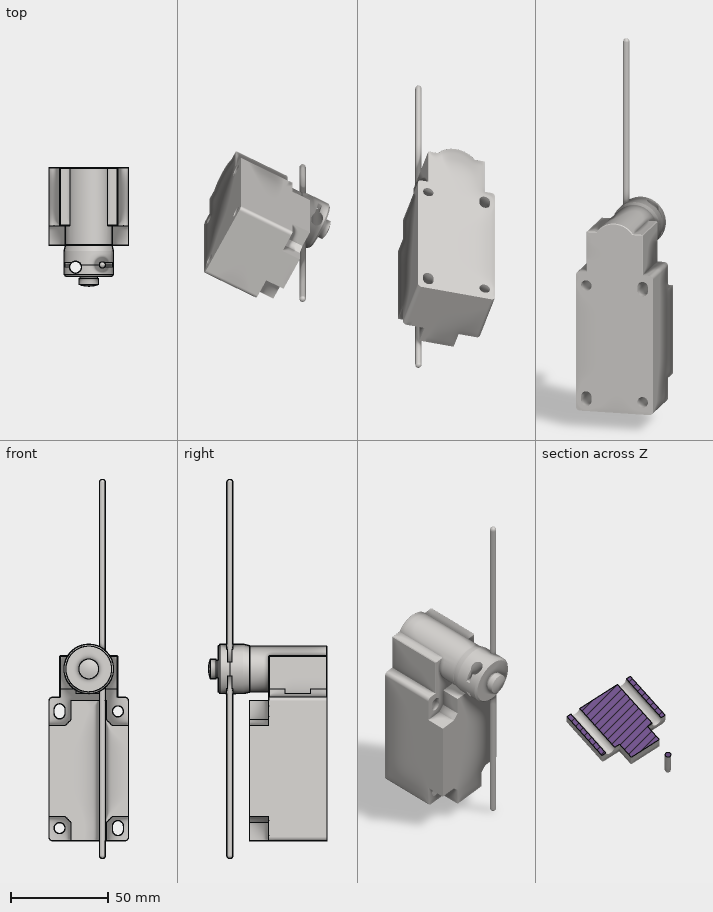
import cadquery as cq


BODY_WIDTH = 41.0
BODY_DEPTH = 40.0
SHOULDER_HEIGHT = 73.9
SHOULDER_DEPTH = 30.0
FRONT_HEIGHT = 72.2
SIDE_FILLET = 2.0
NECK_WIDTH = 30.0
NECK_TOP = 78.2

POCKET_WIDTH = 11.4
POCKET_HEIGHT = 12.5
UPPER_POCKET_FLOOR = 59.3
POCKET_CHAMFER = 3.0
HOLE_DIAMETER = 5.5
SLOT_LENGTH = 7.6
HOLE_SPACING_X = 30.0
LOWER_HOLE_Z = 6.6
UPPER_HOLE_Z = LOWER_HOLE_Z + 60.0

HEAD_TOP = 95.3
AXIS_Z = 88.4
BOSS_RADIUS = 11.9
HEAD_CHAMFER = 0.4
TAB_WIDTH = 13.2
TAB_HEIGHT = 2.3

CLAMP_RADIUS = 12.75
CLAMP_BACK_RADIUS = 12.1
CLAMP_TAPER_LENGTH = 3.0
CLAMP_SPLIT_Y = -50.0
CLAMP_FRONT_Y = -56.0
CLAMP_CHAMFER = 1.0
SLIT_WIDTH = 2.2
SLIT_FLOOR = 3.5
SPARE_HOLE_DIAMETER = 6.0
SPARE_HOLE_X = -6.8
SPARE_HOLE_Y = -51.2

ROD_LENGTH = 195.0
ROD_DIAMETER = 3.2
ROD_X = 7.0
ROD_END_FILLET = 0.999 * ROD_DIAMETER / 2

SHAFT_RADIUS = 4.6
SHAFT_END_Y = -57.0
CAP_RADIUS = 5.1
CAP_RIM_LENGTH = 3.0
CAP_DOME_HEIGHT = 1.0


def block(width, back_y, front_y, bottom_z, top_z, centre_x=0.0):
    """Box centred on centre_x, spanning the given Y and Z limits."""
    depth = back_y - front_y
    height = top_z - bottom_z
    centre = (centre_x, front_y + depth / 2, bottom_z + height / 2)
    return cq.Workplane("XY").box(width, depth, height).translate(centre)


def axial_cylinder(radius, back_y, front_y):
    """Cylinder on the lever axis, running forward from back_y to front_y."""
    plane = cq.Workplane("XZ", origin=(0, back_y, AXIS_Z))
    return plane.circle(radius).extrude(back_y - front_y)


def vertical_cylinder(diameter, x, y):
    """Cylinder along Z, as long as the rod and centred on the lever axis."""
    plane = cq.Workplane("XY", origin=(x, y, AXIS_Z - ROD_LENGTH / 2))
    return plane.circle(diameter / 2).extrude(ROD_LENGTH)


def corner_pocket(side, bottom_z, top_z, inner_end):
    """Front corner cutout, bevelled at the corner nearest the housing middle.

    The inner_end selector picks the end, upper or lower, that faces the middle.
    """
    centre_x = side * (BODY_WIDTH - POCKET_WIDTH) / 2
    inner_side = "<X" if side > 0 else ">X"
    pocket = block(POCKET_WIDTH, -SHOULDER_DEPTH, -BODY_DEPTH, bottom_z, top_z, centre_x)
    return pocket.edges("|Y").edges(inner_end).edges(inner_side).chamfer(POCKET_CHAMFER)


def head_tabs():
    """Cross of two bars under the head that keys it into the housing neck."""
    bottom_z = NECK_TOP - TAB_HEIGHT
    tab_back_y = (TAB_WIDTH - SHOULDER_DEPTH) / 2
    across = block(NECK_WIDTH, tab_back_y, tab_back_y - TAB_WIDTH, bottom_z, NECK_TOP)
    along = block(TAB_WIDTH, 0, -SHOULDER_DEPTH, bottom_z, NECK_TOP)
    return across.union(along)


def neck_column(bottom_z, top_z):
    """Square column shared by neck and head, with bevelled upright edges."""
    column = block(NECK_WIDTH, 0, -SHOULDER_DEPTH, bottom_z, top_z)
    return column.edges("|Z").chamfer(HEAD_CHAMFER)


def keyed_tabs():
    """Head tabs trimmed to the bevelled outline of the neck."""
    return head_tabs().intersect(neck_column(NECK_TOP - TAB_HEIGHT, NECK_TOP))


def make_housing():
    back = block(BODY_WIDTH, 0, -SHOULDER_DEPTH, 0, SHOULDER_HEIGHT)
    back = back.edges("|Y").fillet(SIDE_FILLET)
    front = block(BODY_WIDTH, -SHOULDER_DEPTH, -BODY_DEPTH, 0, FRONT_HEIGHT)
    for side in (-1, 1):
        front = front.cut(corner_pocket(side, 0, POCKET_HEIGHT, ">Z"))
        front = front.cut(corner_pocket(side, UPPER_POCKET_FLOOR, FRONT_HEIGHT, "<Z"))
    body = back.union(front).union(neck_column(SHOULDER_HEIGHT, NECK_TOP))

    round_holes = [(-HOLE_SPACING_X / 2, LOWER_HOLE_Z), (HOLE_SPACING_X / 2, UPPER_HOLE_Z)]
    slots = [(HOLE_SPACING_X / 2, LOWER_HOLE_Z), (-HOLE_SPACING_X / 2, UPPER_HOLE_Z)]
    plane = cq.Workplane("XZ")
    holes = plane.pushPoints(round_holes).circle(HOLE_DIAMETER / 2).extrude(BODY_DEPTH)
    slot_cuts = plane.pushPoints(slots).slot2D(SLOT_LENGTH, HOLE_DIAMETER, 90).extrude(BODY_DEPTH)
    return body.cut(holes).cut(slot_cuts).cut(keyed_tabs())


def make_head():
    column = block(NECK_WIDTH, 0, -SHOULDER_DEPTH, NECK_TOP, HEAD_TOP)
    column = column.edges("|Z or >Z").chamfer(HEAD_CHAMFER)
    boss = axial_cylinder(BOSS_RADIUS, 0, -BODY_DEPTH).faces("<Y or >Y").chamfer(HEAD_CHAMFER)
    under_boss = block(NECK_WIDTH, 0, -SHOULDER_DEPTH, 0, NECK_TOP)
    return column.union(boss.cut(under_boss)).union(keyed_tabs())


def make_clamp():
    """Whole lever clamp before it is split into its two halves."""
    back_y = -BODY_DEPTH
    profile = cq.Workplane("XY").polyline([
        (0, back_y),
        (CLAMP_BACK_RADIUS, back_y),
        (CLAMP_RADIUS, back_y - CLAMP_TAPER_LENGTH),
        (CLAMP_RADIUS, CLAMP_FRONT_Y + CLAMP_CHAMFER),
        (CLAMP_RADIUS - CLAMP_CHAMFER, CLAMP_FRONT_Y),
        (0, CLAMP_FRONT_Y),
    ]).close()
    clamp = profile.revolve(360, (0, 0, 0), (0, 1, 0)).translate((0, 0, AXIS_Z))
    clamp = clamp.cut(axial_cylinder(SHAFT_RADIUS, back_y, CLAMP_FRONT_Y))
    clamp = clamp.cut(vertical_cylinder(ROD_DIAMETER, ROD_X, CLAMP_SPLIT_Y))
    clamp = clamp.cut(vertical_cylinder(SPARE_HOLE_DIAMETER, SPARE_HOLE_X, SPARE_HOLE_Y))

    slit_height = CLAMP_RADIUS - SLIT_FLOOR
    for inner_x, side in ((ROD_X, 1), (SPARE_HOLE_X, -1)):
        slit_length = CLAMP_RADIUS - abs(inner_x)
        for direction in (-1, 1):
            slit = cq.Workplane("XY").box(slit_length, SLIT_WIDTH, slit_height)
            clamp = clamp.cut(slit.translate((
                inner_x + side * slit_length / 2,
                CLAMP_SPLIT_Y,
                AXIS_Z + direction * (SLIT_FLOOR + slit_height / 2),
            )))
    return clamp


def make_clamp_half(back_y, front_y):
    return make_clamp().intersect(axial_cylinder(2 * CLAMP_RADIUS, back_y, front_y))


def make_rod():
    rod = vertical_cylinder(ROD_DIAMETER, ROD_X, CLAMP_SPLIT_Y)
    return rod.faces("<Z or >Z").edges().fillet(ROD_END_FILLET)


def make_shaft():
    shaft = axial_cylinder(SHAFT_RADIUS, -BODY_DEPTH, SHAFT_END_Y)
    return shaft.cut(vertical_cylinder(SPARE_HOLE_DIAMETER, SPARE_HOLE_X, SPARE_HOLE_Y))


def make_cap():
    rim_y = SHAFT_END_Y - CAP_RIM_LENGTH
    tip_y = rim_y - CAP_DOME_HEIGHT
    dome_radius = (CAP_RADIUS**2 + CAP_DOME_HEIGHT**2) / (2 * CAP_DOME_HEIGHT)
    profile = (
        cq.Workplane("XY")
        .moveTo(0, SHAFT_END_Y)
        .lineTo(CAP_RADIUS, SHAFT_END_Y)
        .lineTo(CAP_RADIUS, rim_y)
        .radiusArc((0, tip_y), dome_radius)
        .close()
    )
    return profile.revolve(360, (0, 0, 0), (0, 1, 0)).translate((0, 0, AXIS_Z))


housing = make_housing()
head = make_head()
rear_clamp = make_clamp_half(-BODY_DEPTH, CLAMP_SPLIT_Y)
front_clamp = make_clamp_half(CLAMP_SPLIT_Y, CLAMP_FRONT_Y)
rod = make_rod()
shaft = make_shaft()
cap = make_cap()

result = cq.Compound.makeCompound([
    housing.val(),
    head.val(),
    rear_clamp.val(),
    front_clamp.val(),
    rod.val(),
    shaft.val(),
    cap.val(),
])